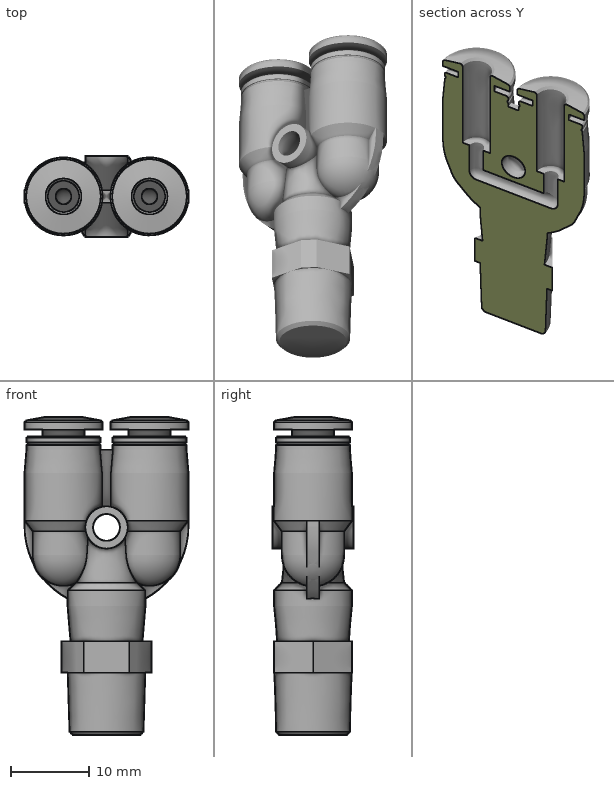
import cadquery as cq
import math

total_height = 40.7
port_offset = 5.5

thread_top_radius = 4.98
thread_tip_radius = 4.75
thread_chamfer = 0.45
hex_bottom = 8.0
hex_top = 12.0
hex_across_flats = 10.0
hex_corner_flat = 5.2

waist_radius = 4.62
stem_radius = 5.0
stem_taper_top = 16.5
stem_shoulder_bottom = 18.5
stem_shoulder_top = 19.5
neck_bottom_radius = 4.0
neck_top_radius = 3.3

port_bottom_radius = 4.0
port_dome_center = 23.0
port_shoulder_bottom = 26.05
port_radius = 5.0
port_shoulder_top = 27.4
port_taper_bottom = 33.5
port_rim_bottom = 36.5
port_rim_radius = 4.75
port_rim_top = 37.2
port_rim_chamfer = 0.12

groove_radius = 4.6
collar_radius = 4.75
collar_bottom = 37.42
collar_top = 38.2
collar_chamfer = 0.2

button_neck_radius = 2.7
button_radius = 5.0
button_bottom = 39.05
button_edge_top = 40.25
button_chamfer = 0.25
button_mouth_radius = 2.3

tube_radius = 2.0
tube_seat = port_shoulder_top
tube_chamfer = button_mouth_radius - tube_radius
passage_radius = 1.0

eye_height = 26.55
eye_length = 10.4
eye_radius = 2.7
eye_hole_radius = 1.7

web_thickness = 1.6
web_radius = port_offset + port_radius
web_center = 26.7


def make_stem():
    """Revolved stem: tapered thread, waist, shoulder and conical neck."""
    profile = (
        cq.Workplane("XZ")
        .lineTo(thread_tip_radius - thread_chamfer, 0)
        .lineTo(thread_tip_radius, thread_chamfer)
        .lineTo(thread_top_radius, hex_bottom)
        .lineTo(waist_radius, hex_top)
        .lineTo(stem_radius, stem_taper_top)
        .lineTo(stem_radius, stem_shoulder_bottom)
        .lineTo(neck_bottom_radius, stem_shoulder_top)
        .lineTo(neck_top_radius, eye_height)
        .lineTo(0, eye_height)
        .close()
    )
    return profile.revolve(360, (0, 0, 0), (0, 1, 0))


def make_hexagon():
    """Wrench hexagon with two flats along Y and its -X, +Y corner blunted."""
    across_corners = hex_across_flats / math.cos(math.pi / 6)
    corner_angle = 120
    height = hex_top - hex_bottom
    base = cq.Workplane("XY").workplane(offset=hex_bottom)
    corner = (
        base.center(hex_corner_flat + hex_across_flats / 2, 0)
        .rect(hex_across_flats, hex_across_flats)
        .extrude(height)
        .rotate((0, 0, 0), (0, 0, 1), corner_angle)
    )
    return base.polygon(6, across_corners).extrude(height).cut(corner)


def make_port(x):
    """Revolved port body with collar and release button, on the axis at x."""
    dome_mid = port_bottom_radius * math.sqrt(0.5)
    profile = (
        cq.Workplane("XZ")
        .moveTo(0, port_dome_center - port_bottom_radius)
        .threePointArc(
            (dome_mid, port_dome_center - dome_mid),
            (port_bottom_radius, port_dome_center),
        )
        .lineTo(port_bottom_radius, port_shoulder_bottom)
        .lineTo(port_radius, port_shoulder_top)
        .lineTo(port_radius, port_taper_bottom)
        .lineTo(port_rim_radius, port_rim_bottom)
        .lineTo(port_rim_radius, port_rim_top - port_rim_chamfer)
        .lineTo(port_rim_radius - port_rim_chamfer, port_rim_top)
        .lineTo(groove_radius, port_rim_top)
        .lineTo(groove_radius, collar_bottom)
        .lineTo(collar_radius, collar_bottom)
        .lineTo(collar_radius, collar_top - collar_chamfer)
        .lineTo(collar_radius - collar_chamfer, collar_top)
        .lineTo(button_neck_radius, collar_top)
        .lineTo(button_neck_radius, button_bottom)
        .lineTo(button_radius, button_bottom)
        .lineTo(button_radius, button_edge_top - button_chamfer)
        .lineTo(button_radius - button_chamfer, button_edge_top)
        .lineTo(button_mouth_radius, total_height)
        .lineTo(0, total_height)
        .close()
    )
    return profile.revolve(360, (0, 0, 0), (0, 1, 0)).translate((x, 0, 0))


def make_web():
    """Flat web: a half disc under the ports and a strip between them."""
    half_disc = (
        cq.Workplane("XZ")
        .moveTo(-web_radius, port_shoulder_top)
        .lineTo(-web_radius, web_center)
        .threePointArc((0, web_center - web_radius), (web_radius, web_center))
        .lineTo(web_radius, port_shoulder_top)
        .close()
        .extrude(web_thickness / 2, both=True)
    )
    strip_height = port_rim_bottom - web_center
    strip = cq.Workplane("XY").box(2 * port_offset, web_thickness, strip_height)
    return half_disc.union(strip.translate((0, 0, web_center + strip_height / 2)))


def make_eye_cylinder(radius):
    """Cylinder along Y on the axis of the mounting eye."""
    return (
        cq.Workplane("XZ", origin=(0, 0, eye_height))
        .circle(radius)
        .extrude(eye_length / 2, both=True)
    )


def make_port_bore(x):
    """Chamfered tube socket and the narrower passage with a round end below it."""
    profile = (
        cq.Workplane("XZ")
        .moveTo(0, port_dome_center)
        .lineTo(passage_radius, port_dome_center)
        .lineTo(passage_radius, tube_seat)
        .lineTo(tube_radius, tube_seat)
        .lineTo(tube_radius, total_height - tube_chamfer)
        .lineTo(button_mouth_radius, total_height)
        .lineTo(0, total_height)
        .close()
    )
    bore = profile.revolve(360, (0, 0, 0), (0, 1, 0))
    round_end = cq.Workplane("XY").sphere(passage_radius).translate((0, 0, port_dome_center))
    return bore.union(round_end).translate((x, 0, 0))


def make_cross_passage():
    """Passage along X that joins the two port passages."""
    return (
        cq.Workplane("YZ", origin=(0, 0, port_dome_center))
        .circle(passage_radius)
        .extrude(port_offset, both=True)
    )


result = make_stem().union(make_hexagon()).union(make_web())
for port_x in (-port_offset, port_offset):
    result = result.union(make_port(port_x))
result = result.union(make_eye_cylinder(eye_radius))

result = result.cut(make_eye_cylinder(eye_hole_radius))
result = result.cut(make_cross_passage())
for port_x in (-port_offset, port_offset):
    result = result.cut(make_port_bore(port_x))